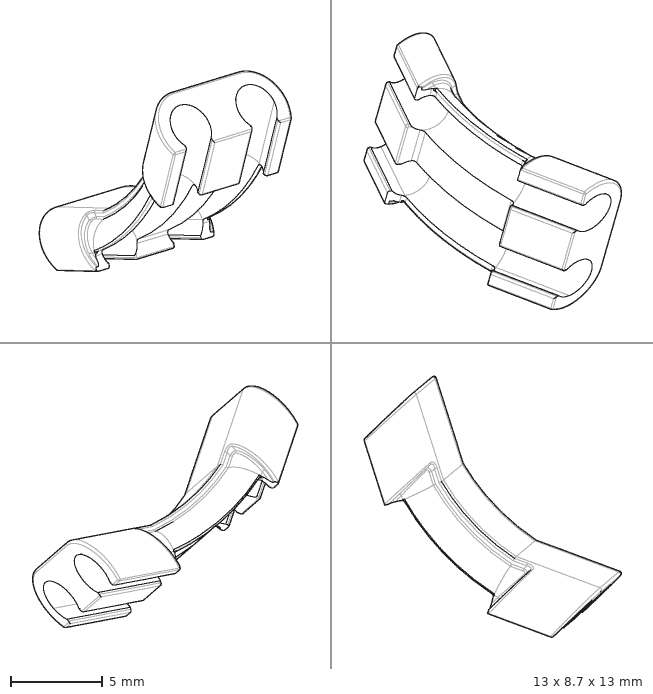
import cadquery as cq
import math


tilt = 45.0
half_length = 7.51
clasp_angle = 27.0
kink = 2.9
arc_half_angle = 13.5
end_height = 1.77

tube_offset = 2.27
outer_radius = 2.08
waist_radius = 1.69
bore_radius = 1.22
mouth_width = 1.79
clasp_thickness = 3.16

web_half_width = 2.75
groove_end = 3.99
groove_corner_radius = 0.31
step_end = 4.1

step_fillet = 0.26
edge_round = 0.13
step_foot_round = 0.1

overlap = 1.3
big = 12.99

slope = math.radians(clasp_angle)
kink_height = end_height - (half_length - kink) * math.tan(slope)
arc_radius = kink / math.sin(math.radians(arc_half_angle))
arc_centre_height = kink_height + math.sqrt(arc_radius**2 - kink**2)
crease_slope = math.radians((clasp_angle + arc_half_angle) / 2)
crease_normal = cq.Vector(math.cos(crease_slope), 0, math.sin(crease_slope))
centre_depth = outer_radius / math.cos(slope - crease_slope)
step_start = kink + centre_depth * math.sin(crease_slope)
step_top = kink_height - centre_depth * math.cos(crease_slope)
underside_radius = math.hypot(step_start, arc_centre_height - step_top)
clasp_length = (half_length - kink) / math.cos(slope)
end_bottom = end_height - clasp_thickness / math.cos(slope)
step_bottom = end_bottom - (half_length - step_end) * math.tan(slope)


def beyond_crease():
    """The space on the clasp side of the crease."""
    plane = cq.Plane(cq.Vector(kink, 0, kink_height), (0, 1, 0), crease_normal)
    return cq.Workplane(plane).rect(big, big).extrude(big)


def along_clasp(section):
    """Extrude a section along the straight clasp, starting on the crease."""
    direction = cq.Vector(math.cos(slope), 0, math.sin(slope))
    start = cq.Vector(kink, 0, kink_height) - direction * overlap
    start_plane = cq.Plane(start, (0, 1, 0), direction)
    clasp = section(cq.Workplane(start_plane)).extrude(clasp_length + 3 * overlap)
    return clasp.intersect(beyond_crease())


def bend(section):
    """Carry a section along the arc and both clasps, with the same outline where they meet."""
    clasp = along_clasp(section)
    crease_face = clasp.faces(cq.selectors.DirectionMinMaxSelector(crease_normal, False)).val()
    axis_start = cq.Vector(0, 0, arc_centre_height)
    axis_end = cq.Vector(0, 0.13, arc_centre_height)
    arc = cq.Workplane(cq.Solid.revolve(crease_face, 3 * arc_half_angle, axis_start, axis_end))
    arc = arc.cut(beyond_crease().mirror("YZ"), clean=False)
    return arc.union(clasp, clean=False).union(clasp.mirror("YZ"), clean=False)


def outer_section(workplane):
    """Two full-size tubes under a flat web, cut flat below."""
    bottom_depth = clasp_thickness - outer_radius
    foot = tube_offset + math.sqrt(outer_radius**2 - bottom_depth**2)
    side = tube_offset + outer_radius
    return (
        workplane.moveTo(-tube_offset, 0)
        .lineTo(tube_offset, 0)
        .threePointArc((side, -outer_radius), (foot, -clasp_thickness))
        .lineTo(-foot, -clasp_thickness)
        .threePointArc((-side, -outer_radius), (-tube_offset, 0))
        .close()
    )


def waist_section(workplane):
    """Outside of the thinner tube."""
    return workplane.center(tube_offset, -outer_radius).circle(waist_radius)


def bore_section(workplane):
    """Bore of the tube."""
    return workplane.center(tube_offset, -outer_radius).circle(bore_radius)


def mouth_section(workplane):
    """Opening below the bore."""
    depth = clasp_thickness
    return workplane.center(tube_offset, -outer_radius - depth / 2).rect(mouth_width, depth)


def underside():
    """Space below the waist: an arc at tube-centre depth with a sloping step to each clasp."""
    step_run = (step_end - step_start) / (step_top - step_bottom)
    below_end = step_end + overlap * step_run
    return (
        cq.Workplane("XZ")
        .moveTo(-step_start, step_top)
        .threePointArc((0, arc_centre_height - underside_radius), (step_start, step_top))
        .lineTo(below_end, step_bottom - overlap)
        .lineTo(-below_end, step_bottom - overlap)
        .close()
        .extrude(big / 2, both=True)
        .edges("|Y").edges(">Z")
        .fillet(step_fillet)
    )


def groove():
    """Material taken off the tube between the clasps, outside the web."""
    width = big / 2
    window = (
        cq.Workplane("XY")
        .center(0, web_half_width + width / 2)
        .rect(2 * groove_end, width)
        .extrude(big, both=True)
        .edges("|Z")
        .fillet(groove_corner_radius)
    )
    return window.cut(bend(waist_section), clean=False)


def lower_edge_cutter():
    """Waste outside a rounded lower edge along the waist tube."""
    side = tube_offset + waist_radius
    corner = side - edge_round
    plane = cq.Plane(origin=(0, 0, arc_centre_height), xDir=(0, 1, 0), normal=(1, 0, 0))
    half_angle = math.degrees(math.asin(step_start / underside_radius))
    diagonal = edge_round * math.sqrt(0.5)
    rounded = edge_round - underside_radius
    cutter = (
        cq.Workplane(plane)
        .moveTo(corner, -underside_radius)
        .threePointArc((corner + diagonal, rounded - diagonal), (side, rounded))
        .lineTo(side + edge_round, rounded)
        .lineTo(side + edge_round, -underside_radius - edge_round)
        .lineTo(corner, -underside_radius - edge_round)
        .close()
        .revolve(2 * half_angle, (0, 0), (1, 0))
    )
    return cutter.rotate((0, 0, arc_centre_height), (0, 1, arc_centre_height), -half_angle)


def cut_both_sides(body, cutter):
    """Cut a tool and its mirror image across the part."""
    return body.cut(cutter, clean=False).cut(cutter.mirror("XZ"), clean=False)


def round_edges(body, points, radius):
    """Round the edges closest to the given points and to their mirror images in both directions."""
    edges = []
    for x, y, z in points:
        for x_sign in (1, -1):
            for y_sign in (1, -1):
                place = cq.Vertex.makeVertex(x_sign * x, y_sign * y, z)
                edge = min(body.edges().vals(), key=place.distance)
                if not any(edge.isSame(known) for known in edges):
                    edges.append(edge)
    return cq.Workplane(body.solids().val().fillet(radius, edges))


groove_rim = [(3.99, 4.22, -1.51), (3.9, 2.88, -0.15), (3.3, 2.79, -0.43), (0, 2.79, -0.96)]
groove_root = [(3.99, 3.77, -1.38), (3.9, 2.88, -0.58), (3.36, 2.79, -0.82), (0, 2.79, -1.34)]
end_outline = [(7.45, 4.12, 0.51), (7.45, 0, 1.77), (7.45, 0, -1.77), (7.45, 3.6, -1.77)]
clasp_lips = [(5.78, 3.13, -2.61), (5.78, 1.42, -2.61), (5.78, 4.05, -2.61)]
step_foot = [(step_end, 0, step_bottom)]

end_trim = cq.Workplane("XY").box(2 * half_length, big, big)
body = bend(outer_section).intersect(end_trim, clean=False).cut(underside(), clean=False)
mouth = along_clasp(mouth_section)
for cutter in [groove(), bend(bore_section), mouth, mouth.mirror("YZ")]:
    body = cut_both_sides(body, cutter)

body = round_edges(body, groove_rim + groove_root, edge_round)
body = round_edges(body, end_outline + clasp_lips, edge_round)
body = cut_both_sides(body, lower_edge_cutter())
body = round_edges(body, step_foot, step_foot_round)

result = body.rotate((0, 0, 0), (0, 1, 0), -tilt)